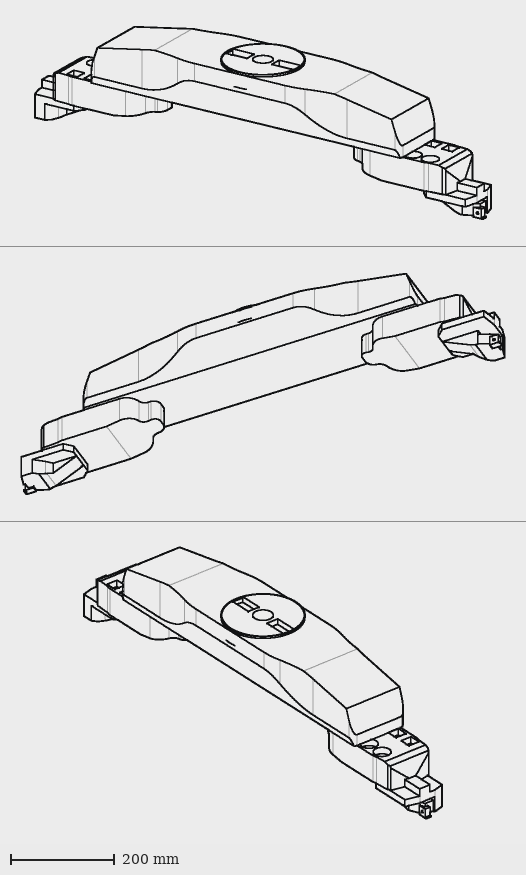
import cadquery as cq

HOUSING_TOP = 103.0
DISC_TOP = 107.0
ARM_BOTTOM = -59.0
PLATE_BOTTOM = -74.0
JAW_BOTTOM = -108.0
FOOT_BOTTOM = -111.0

HOUSING_HALF_LENGTH = 357.0
WIDE_HALF = 164.0 / 2
NARROW_HALF = 132.0 / 2
BASE_HALF = 60.0
UNDERCUT_TOP = 66.0
WIDE_END = 104.0
WAIST_TURN = 147.0
NARROW_START = 236.0
ROOF_FLAT_END = 207.0
ROOF_END = 339.0
ROOF_END_HEIGHT = 79.0
END_UPRIGHT_TOP = 24.0
HOUSING_CORNER = 11.0

RING_DIAMETER = 162.0
DISC_DIAMETER = 159.0
SEAT_DEPTH = 29.0
BORE_DIAMETER = 40.0
SLOT_WIDTH = 27.0
SLOT_START = 29.0
SLOT_DEPTH = 12.0

ARM_HALF = 54.0
ARM_NECK_HALF = 52.0
ARM_CORNER_HALF = 50.0
ARM_TIP_HALF = 47.0
TONGUE_HALF = 20.0
TONGUE_END = -216.0
TONGUE_CORNER = 14.0
SHOULDER_END = -282.0
SHOULDER_TURN = -251.0
TONGUE_START = -236.0
STEP_START = -405.0
STEP_END = -414.0
ARM_CORNER = -446.0
ARM_TIP_SIDE = -452.0
ARM_TIP = -460.0
ARM_TIP_FLAT_HALF = 8.0
ARM_TOP_END = -438.0
ARM_BROW = (-451.0, -5.0)
END_WALL_FOOT = -43.0
ARM_RISE_START = -309.0
TONGUE_BOTTOM = -44.0
HOLE_DIAMETER = 35.0
HOLE_X = -406.0
HOLE_Y = 32.0
POCKET_SIDE = 24.0
POCKET_X = -408.0
POCKET_Y = -36.0
FIXING_PITCH = 40.0
FIXING_DEPTH = 14.0

PLATE_INNER = -392.0
PLATE_CORNER = 15.0
PLATE_FRONT = -44.0
PLATE_BACK = 48.0
PLATE_SIDE_END = -497.0
PLATE_NOSE = -504.0
RAIL_TOP = -43.0
RAIL_FRONT = -8.0
RAIL_BACK = 17.0
RAIL_INNER = -449.0
HOOK_KNEE = (-451.0, -104.0)
HOOK_FOOT = -463.0
HOOK_FRONT = -16.0
HOOK_BACK = 15.0
CHEEK_BACK = -19.0
CHEEK_INNER = -473.0
STEP_FRONT = -28.0
STEP_INNER = -453.0
WEB_INNER = -442.0
BACK_CORNER = -468.0
NOSE_TIP = -500.0
NOSE_TOP = -84.0

LATCH_OUTER = -507.0
FOOT_OUTER = -510.0
LATCH_INNER = -489.0
LATCH_HALF = 6.0
LATCH_TOP = -91.0
FOOT_TOP = -109.0
LATCH_BORE = 4.7


def box(x0, x1, y0, y1, z0, z1):
    """Box between two opposite corners."""
    return cq.Workplane("XY").box(x1 - x0, y1 - y0, z1 - z0, centered=False).translate((x0, y0, z0))


def prism(outline, z0, z1):
    """Upright prism over a plan outline of X, Y points."""
    return cq.Workplane("XY").workplane(offset=z0).polyline(outline).close().extrude(z1 - z0)


def slab(profile, half_width):
    """Side profile of X, Z points, extruded equally to both sides of Y = 0."""
    return cq.Workplane("XZ").polyline(profile).close().extrude(half_width, both=True)


def turned(body):
    """Copy of a body, turned half a turn about the Z axis."""
    return body.rotate((0, 0, 0), (0, 0, 1), 180)


def upper_disc(diameter):
    """Cylinder from the seat in the roof up to the top of the disc."""
    seat = HOUSING_TOP - SEAT_DEPTH
    return cq.Workplane("XY").workplane(offset=seat).circle(diameter / 2).extrude(DISC_TOP - seat)


def housing_plan():
    """Plan of the housing: wide middle, S-shaped shoulders, narrow rounded ends."""
    turn_share = (WAIST_TURN - WIDE_END) / (NARROW_START - WIDE_END)
    turn_half = WIDE_HALF + turn_share * (NARROW_HALF - WIDE_HALF)
    quarter = (
        cq.Workplane("XY")
        .moveTo(0, 0)
        .lineTo(0, WIDE_HALF)
        .lineTo(WIDE_END, WIDE_HALF)
        .tangentArcPoint((WAIST_TURN, turn_half), relative=False)
        .tangentArcPoint((NARROW_START, NARROW_HALF), relative=False)
        .lineTo(HOUSING_HALF_LENGTH - HOUSING_CORNER, NARROW_HALF)
        .tangentArcPoint((HOUSING_HALF_LENGTH, NARROW_HALF - HOUSING_CORNER), relative=False)
        .lineTo(HOUSING_HALF_LENGTH, 0)
        .close()
        .extrude(HOUSING_TOP)
    )
    half = quarter.union(quarter.mirror("XZ"))
    return half.union(half.mirror("YZ"))


def housing_profile():
    """Side profile of the housing: flat roof falling to steep ends."""
    right_side = [
        (ROOF_FLAT_END, HOUSING_TOP),
        (ROOF_END, ROOF_END_HEIGHT),
        (HOUSING_HALF_LENGTH, END_UPRIGHT_TOP),
        (HOUSING_HALF_LENGTH, 0),
    ]
    left_side = [(-x, z) for x, z in reversed(right_side)]
    return slab(right_side + left_side, WIDE_HALF)


def housing_section():
    """Cross section of the housing: upright sides sloping in towards the underside."""
    outline = [
        (-BASE_HALF, 0),
        (-WIDE_HALF, UNDERCUT_TOP),
        (-WIDE_HALF, HOUSING_TOP),
        (WIDE_HALF, HOUSING_TOP),
        (WIDE_HALF, UNDERCUT_TOP),
        (BASE_HALF, 0),
    ]
    return cq.Workplane("YZ").polyline(outline).close().extrude(HOUSING_HALF_LENGTH, both=True)


def make_housing():
    body = housing_plan().intersect(housing_profile()).intersect(housing_section())
    return body.cut(upper_disc(RING_DIAMETER))


def make_ring():
    return upper_disc(RING_DIAMETER).cut(upper_disc(DISC_DIAMETER))


def make_disc():
    """Disc with a central bore and two slots that run out to the ring."""
    slot = box(
        SLOT_START, DISC_DIAMETER, -SLOT_WIDTH / 2, SLOT_WIDTH / 2, DISC_TOP - SLOT_DEPTH, DISC_TOP
    )
    return upper_disc(DISC_DIAMETER).cut(upper_disc(BORE_DIAMETER)).cut(slot).cut(turned(slot))


def arm_plan():
    """Plan of the arm: pointed outer end, stepped sides, rounded shoulders and a tongue."""
    turn_share = (SHOULDER_TURN - SHOULDER_END) / (TONGUE_START - SHOULDER_END)
    turn_half = ARM_HALF + turn_share * (TONGUE_HALF - ARM_HALF)
    half = (
        cq.Workplane("XY")
        .workplane(offset=ARM_BOTTOM)
        .moveTo(ARM_TIP, 0)
        .lineTo(ARM_TIP, ARM_TIP_FLAT_HALF)
        .lineTo(ARM_TIP_SIDE, ARM_TIP_HALF)
        .lineTo(ARM_CORNER, ARM_CORNER_HALF)
        .lineTo(STEP_END, ARM_NECK_HALF)
        .lineTo(STEP_START, ARM_HALF)
        .lineTo(SHOULDER_END, ARM_HALF)
        .tangentArcPoint((SHOULDER_TURN, turn_half), relative=False)
        .tangentArcPoint((TONGUE_START, TONGUE_HALF), relative=False)
        .lineTo(TONGUE_END - TONGUE_CORNER, TONGUE_HALF)
        .tangentArcPoint((TONGUE_END, TONGUE_HALF - TONGUE_CORNER), relative=False)
        .lineTo(TONGUE_END, 0)
        .close()
        .extrude(-ARM_BOTTOM)
    )
    return half.union(half.mirror("XZ"))


def arm_profile():
    """Side profile of the arm: sloping end wall and an underside rising to the tongue."""
    outline = [
        (ARM_TIP, ARM_BOTTOM),
        (ARM_TIP, END_WALL_FOOT),
        ARM_BROW,
        (ARM_TOP_END, 0),
        (TONGUE_END, 0),
        (TONGUE_END, TONGUE_BOTTOM),
        (ARM_RISE_START, ARM_BOTTOM),
    ]
    return slab(outline, ARM_HALF)


def make_arm():
    arm = arm_plan().intersect(arm_profile())
    for i in range(2):
        shift = i * FIXING_PITCH
        hole = cq.Workplane("XY").center(HOLE_X + shift, HOLE_Y).circle(HOLE_DIAMETER / 2)
        pocket = cq.Workplane("XY").center(POCKET_X + shift, POCKET_Y).rect(POCKET_SIDE, POCKET_SIDE)
        arm = arm.cut(hole.extrude(-FIXING_DEPTH)).cut(pocket.extrude(-FIXING_DEPTH))
    return arm


def jaw_plate():
    """Flat plate under the arm, with a blunt pointed outer end."""
    outline = [
        (PLATE_INNER, PLATE_FRONT + PLATE_CORNER),
        (PLATE_INNER, PLATE_BACK - PLATE_CORNER),
        (PLATE_INNER - PLATE_CORNER, PLATE_BACK),
        (PLATE_SIDE_END, PLATE_BACK),
        (PLATE_NOSE, RAIL_BACK),
        (PLATE_NOSE, CHEEK_BACK),
        (PLATE_SIDE_END, PLATE_FRONT),
        (PLATE_INNER - PLATE_CORNER, PLATE_FRONT),
    ]
    return prism(outline, PLATE_BOTTOM, ARM_BOTTOM)


def jaw_hook():
    """Hook below the plate: sloping inner underside, nose and front cheek at the outer end."""
    plan = [
        (PLATE_INNER, HOOK_FRONT),
        (PLATE_INNER, HOOK_BACK),
        (BACK_CORNER, HOOK_BACK),
        (LATCH_INNER, LATCH_HALF),
        (NOSE_TIP, 0),
        (NOSE_TIP, CHEEK_BACK),
        (PLATE_NOSE, CHEEK_BACK),
        (PLATE_SIDE_END, PLATE_FRONT),
        (CHEEK_INNER, PLATE_FRONT),
        (STEP_INNER, STEP_FRONT),
        (WEB_INNER, HOOK_FRONT),
    ]
    profile = [
        (PLATE_INNER, PLATE_BOTTOM),
        HOOK_KNEE,
        (HOOK_FOOT, JAW_BOTTOM),
        (LATCH_OUTER, JAW_BOTTOM),
        (LATCH_OUTER, PLATE_BOTTOM),
    ]
    hook = prism(plan, JAW_BOTTOM, PLATE_BOTTOM).intersect(slab(profile, PLATE_BACK))
    return hook.cut(box(LATCH_OUTER, BACK_CORNER, CHEEK_BACK, HOOK_BACK, NOSE_TOP, PLATE_BOTTOM))


def latch_block():
    """Block of the latch, on a thin foot that reaches a little further out."""
    block = box(LATCH_OUTER, LATCH_INNER, -LATCH_HALF, LATCH_HALF, FOOT_BOTTOM, LATCH_TOP)
    foot = box(FOOT_OUTER, LATCH_INNER, -LATCH_HALF, LATCH_HALF, FOOT_BOTTOM, FOOT_TOP)
    return block.union(foot)


def make_jaw(arm):
    """Plate with a rail fitted against the arm, a hook and a seat for the latch."""
    rail = box(PLATE_NOSE, RAIL_INNER, RAIL_FRONT, RAIL_BACK, ARM_BOTTOM, RAIL_TOP).cut(arm)
    return jaw_plate().union(rail).union(jaw_hook()).cut(latch_block())


def make_latch():
    """Small block at the tip of the jaw, with a cross bore."""
    centre_x = (LATCH_OUTER + LATCH_INNER) / 2
    centre_z = (FOOT_BOTTOM + LATCH_TOP) / 2
    cross_bore = (
        cq.Workplane("XZ").center(centre_x, centre_z).circle(LATCH_BORE / 2).extrude(LATCH_HALF, both=True)
    )
    return latch_block().cut(cross_bore)


bodies = [make_housing(), make_ring(), make_disc()]
left_arm = make_arm()
for end_body in [left_arm, make_jaw(left_arm), make_latch()]:
    bodies += [end_body, turned(end_body)]

result = cq.Compound.makeCompound([solid for body in bodies for solid in body.vals()])